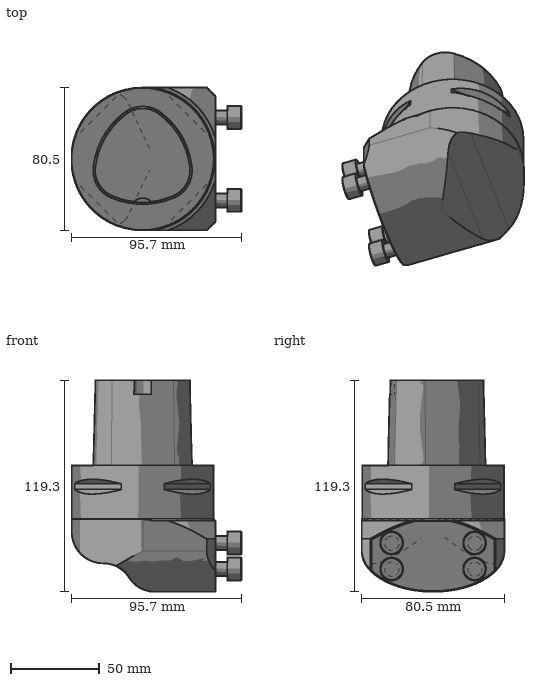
import cadquery as cq
import math


SHANK_HEIGHT = 48.0
SHANK_FLAT_REACH = 25.5
SHANK_LOBE_REACH = 29.6
SHANK_LOBE_RADIUS = 16.8
SHANK_SIDE_SLOPE = 1 / 40
LOBE_COUNT = 3

NOTCH_RADIUS = 6.5
NOTCH_REACH = 22.0
NOTCH_DEPTH = 8.0

FLANGE_RADIUS = 40.0
FLANGE_HEIGHT = 30.0
GROOVE_COUNT = 4
GROOVE_Z = -12.0
GROOVE_FLOOR_DISTANCE = 35.5
GROOVE_FLOOR_WIDTH = 3.2
GROOVE_WALL_ANGLE = 30.0
GROOVE_OVERCUT = 1.0

HEAD_RADIUS = 40.25
HEAD_BOTTOM_Z = -71.25
HEAD_BACK_X = -40.0
HEAD_FRONT_X = 41.25
HEAD_CORNER_CHAMFER = 5.25
HEAD_FACE_CHAMFER = 0.5
BELLY_TOP_Z = -48.0

BACK_CORNER_RADIUS = 18.0
STEP_Z = -55.25
STEP_ARC_RADIUS = 17.0

NECK_OUTER_RADIUS = 40.6
LEDGE_OUTER_RADIUS = 42.6
LEDGE_Z = -31.1
TOP_CONE_ANGLE = 42.0

SCREW_DIAMETER = 8.0
SCREW_HEAD_DIAMETER = 13.0
SCREW_HEAD_HEIGHT = 8.0
SCREW_HEAD_CHAMFER = 0.4
SCREW_END_X = 55.72
SCREW_Y = 23.35
SCREW_ROWS_Z = (-43.7, -58.35)
SCREW_EMBED = 2.0


def polar(radius, angle):
    """Point at a radius and an angle in degrees."""
    turn = math.radians(angle)
    return (radius * math.cos(turn), radius * math.sin(turn))


def make_shank():
    half_pitch = 180 / LOBE_COUNT
    lobe_center = SHANK_LOBE_REACH - SHANK_LOBE_RADIUS
    gap = SHANK_FLAT_REACH - SHANK_LOBE_RADIUS
    lobe_offset = lobe_center * math.cos(math.radians(half_pitch))
    flat_center = (lobe_center**2 - gap**2) / (2 * (gap - lobe_offset))
    flat_radius = SHANK_FLAT_REACH + flat_center

    lobe_x, lobe_y = polar(lobe_center, half_pitch)
    stretch = flat_radius / (flat_radius - SHANK_LOBE_RADIUS)
    tangent_x = stretch * (lobe_x + flat_center) - flat_center
    tangent_y = stretch * lobe_y
    tangent_radius = math.hypot(tangent_x, tangent_y)
    tangent_angle = math.degrees(math.atan2(tangent_y, tangent_x))

    first_flat = -90
    outline = cq.Workplane("XY").moveTo(*polar(tangent_radius, first_flat - tangent_angle))
    for index in range(LOBE_COUNT):
        flat = first_flat + index * 2 * half_pitch
        next_flat = flat + 2 * half_pitch
        outline = outline.threePointArc(
            polar(SHANK_FLAT_REACH, flat),
            polar(tangent_radius, flat + tangent_angle),
        )
        outline = outline.threePointArc(
            polar(SHANK_LOBE_REACH, flat + half_pitch),
            polar(tangent_radius, next_flat - tangent_angle),
        )
    taper = math.degrees(math.atan(SHANK_SIDE_SLOPE))
    shank = outline.close().extrude(SHANK_HEIGHT, taper=taper)

    notch = (
        cq.Workplane("XY", origin=(0, -NOTCH_REACH - NOTCH_RADIUS, SHANK_HEIGHT))
        .circle(NOTCH_RADIUS)
        .extrude(-NOTCH_DEPTH)
    )
    return shank.cut(notch)


def make_flange():
    flange = cq.Workplane("XY").circle(FLANGE_RADIUS).extrude(-FLANGE_HEIGHT)
    mouth = FLANGE_RADIUS + GROOVE_OVERCUT
    rise = (mouth - GROOVE_FLOOR_DISTANCE) * math.tan(math.radians(GROOVE_WALL_ANGLE))
    half_floor = GROOVE_FLOOR_WIDTH / 2
    groove = (
        cq.Workplane("XZ", origin=(0, 0, GROOVE_Z))
        .polyline([
            (GROOVE_FLOOR_DISTANCE, -half_floor),
            (mouth, -half_floor - rise),
            (mouth, half_floor + rise),
            (GROOVE_FLOOR_DISTANCE, half_floor),
        ])
        .close()
        .extrude(FLANGE_RADIUS, both=True)
    )
    pitch = 360 / GROOVE_COUNT
    for index in range(GROOVE_COUNT):
        flange = flange.cut(groove.rotate((0, 0, 0), (0, 0, 1), (index + 0.5) * pitch))
    return flange


def head_plan():
    """Half-round back and square front with bevelled corners."""
    bevel_x = HEAD_FRONT_X - HEAD_CORNER_CHAMFER
    bevel_y = HEAD_RADIUS - HEAD_CORNER_CHAMFER
    return (
        cq.Workplane("XY", origin=(0, 0, -FLANGE_HEIGHT))
        .moveTo(0, HEAD_RADIUS)
        .threePointArc((-HEAD_RADIUS, 0), (0, -HEAD_RADIUS))
        .lineTo(bevel_x, -HEAD_RADIUS)
        .lineTo(HEAD_FRONT_X, -bevel_y)
        .lineTo(HEAD_FRONT_X, bevel_y)
        .lineTo(bevel_x, HEAD_RADIUS)
        .close()
        .extrude(HEAD_BOTTOM_Z + FLANGE_HEIGHT)
    )


def head_belly():
    """Cross-section along X: straight sides closed by a half ellipse below."""
    return (
        cq.Workplane("YZ", origin=(HEAD_FRONT_X, 0, 0))
        .moveTo(HEAD_RADIUS, 0)
        .lineTo(HEAD_RADIUS, BELLY_TOP_Z)
        .ellipseArc(
            HEAD_RADIUS,
            BELLY_TOP_Z - HEAD_BOTTOM_Z,
            angle1=180,
            angle2=360,
            sense=-1,
            startAtCurrent=True,
        )
        .lineTo(-HEAD_RADIUS, 0)
        .close()
        .extrude(-HEAD_FRONT_X - HEAD_RADIUS)
    )


def head_side():
    """Side outline along Y: rounded back corner and an S of two equal arcs."""
    step_x = HEAD_BACK_X + BACK_CORNER_RADIUS
    half_drop = (STEP_Z - HEAD_BOTTOM_Z) / 2
    half_run = math.sqrt(2 * STEP_ARC_RADIUS * half_drop - half_drop**2)
    return (
        cq.Workplane("XZ")
        .moveTo(HEAD_BACK_X, 0)
        .lineTo(HEAD_BACK_X, STEP_Z + BACK_CORNER_RADIUS)
        .radiusArc((step_x, STEP_Z), -BACK_CORNER_RADIUS)
        .radiusArc((step_x + half_run, STEP_Z - half_drop), STEP_ARC_RADIUS)
        .radiusArc((step_x + 2 * half_run, HEAD_BOTTOM_Z), -STEP_ARC_RADIUS)
        .lineTo(HEAD_FRONT_X, HEAD_BOTTOM_Z)
        .lineTo(HEAD_FRONT_X, 0)
        .close()
        .extrude(HEAD_RADIUS, both=True)
    )


def head_turning():
    """Turned envelope that shapes the top of the head."""
    cone_drop = LEDGE_Z - HEAD_BOTTOM_Z
    cone_run = cone_drop / math.tan(math.radians(TOP_CONE_ANGLE))
    return (
        cq.Workplane("XZ")
        .moveTo(0, -FLANGE_HEIGHT)
        .lineTo(FLANGE_RADIUS, -FLANGE_HEIGHT)
        .lineTo(NECK_OUTER_RADIUS, LEDGE_Z)
        .lineTo(LEDGE_OUTER_RADIUS, LEDGE_Z)
        .lineTo(LEDGE_OUTER_RADIUS + cone_run, HEAD_BOTTOM_Z)
        .lineTo(0, HEAD_BOTTOM_Z)
        .close()
        .revolve(360, (0, 0), (0, 1))
    )


def make_head():
    head = head_plan().intersect(head_belly()).intersect(head_turning())
    head = head.faces(">X").chamfer(HEAD_FACE_CHAMFER)
    return head.intersect(head_side())


def make_screw(y, z):
    head_start = SCREW_END_X - SCREW_HEAD_HEIGHT
    shank_start = HEAD_FRONT_X - SCREW_EMBED
    shank = (
        cq.Workplane("YZ", origin=(shank_start, y, z))
        .circle(SCREW_DIAMETER / 2)
        .extrude(head_start - shank_start)
    )
    head = (
        cq.Workplane("YZ", origin=(head_start, y, z))
        .circle(SCREW_HEAD_DIAMETER / 2)
        .extrude(SCREW_HEAD_HEIGHT)
        .faces(">X")
        .chamfer(SCREW_HEAD_CHAMFER)
    )
    return shank.union(head)


result = make_shank().union(make_flange()).union(make_head())
for screw_z in SCREW_ROWS_Z:
    for screw_y in (-SCREW_Y, SCREW_Y):
        result = result.union(make_screw(screw_y, screw_z))